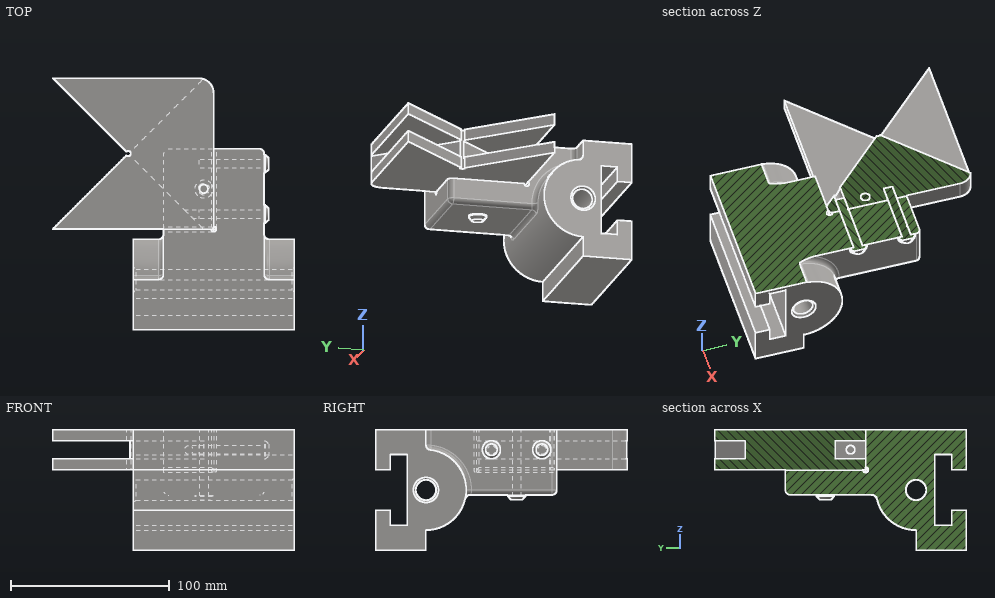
import cadquery as cq


base_width = 101.6
base_depth = 31.8
base_height = 76.2
slot_neck_height = 25.4
slot_neck_depth = 9.4
slot_head_height = 44.5
slot_depth = 19.8
slot_z = base_height / 2

boss_radius = 25.4
bore_radius = 6.4
bore_chamfer = 1.6

arm_left = 19.0
arm_width = 63.5
arm_right = arm_left + arm_width
arm_end_y = 114.3
arm_height = 41.3
arm_bottom = base_height - arm_height
edge_fillet = 3.2
relief_radius = 1.6

block_width = 101.6
block_length = 95.2
block_height = 25.4
block_right = base_width / 2
block_left = block_right - block_width
block_front = 63.5
block_back = block_front + block_length
block_middle_y = block_front + block_length / 2
block_bottom = base_height - block_height
block_middle_z = base_height - block_height / 2
block_corner_radius = 9.5
vee_tip_x = block_left + block_length / 2
groove_height = 11.1
groove_end_x = vee_tip_x + block_length / 2

shank_radius = 2.7
shank_length = arm_height
head_radius = 5.7
head_top_radius = 3.7
head_height = 3.0
head_rim = 0.6
front_screw_y = 73.0
back_screw_y = 104.8
side_screw_ys = (front_screw_y, back_screw_y)
side_screw_end_x = arm_right - shank_length
upright_screw_x = 44.5
upright_screw_y = (front_screw_y + back_screw_y) / 2


def box(x_range, y_range, z_range):
    """Box between the given coordinates along each axis."""
    (x0, x1), (y0, y1), (z0, z1) = x_range, y_range, z_range
    return cq.Workplane("XY").box(x1 - x0, y1 - y0, z1 - z0, centered=False).translate((x0, y0, z0))


def x_cylinder(y, z, radius, x_start, length):
    """Cylinder along X that starts at x_start."""
    return cq.Workplane("YZ", origin=(x_start, y, z)).circle(radius).extrude(length)


def make_screw():
    """Screw with its head's underside at the origin and its shank along +Z."""
    return (
        cq.Workplane("XZ")
        .moveTo(0, -head_height)
        .lineTo(head_top_radius, -head_height)
        .lineTo(head_radius, -head_rim)
        .lineTo(head_radius, 0)
        .lineTo(shank_radius, 0)
        .lineTo(shank_radius, shank_length)
        .lineTo(0, shank_length)
        .close()
        .revolve(360, (0, 0, 0), (0, 1, 0))
    )


def make_screws():
    """One screw up through the arm and two in from the arm's right side."""
    screw = make_screw()
    screws = [screw.translate((upright_screw_x, upright_screw_y, arm_bottom))]
    side_screw = screw.rotate((0, 0, 0), (0, 1, 0), -90)
    for y in side_screw_ys:
        screws.append(side_screw.translate((arm_right, y, block_middle_z)))
    return screws


def cut_screw_holes(body):
    """Holes that fit the shanks of all the screws."""
    upright = cq.Workplane("XY", origin=(upright_screw_x, upright_screw_y, arm_bottom))
    body = body.cut(upright.circle(shank_radius).extrude(shank_length))
    for y in side_screw_ys:
        body = body.cut(x_cylinder(y, block_middle_z, shank_radius, side_screw_end_x, shank_length))
    return body


def make_arm():
    """Arm with rounded lower edges and end corners, rooted inside the base."""
    arm = box((arm_left, arm_right), (slot_depth, arm_end_y), (arm_bottom, base_height))
    return arm.edges("(|Z and >Y) or (<Z and (not <Y))").fillet(edge_fillet)


def cut_t_slot(body):
    """T-slot across the mounting face."""
    steps = (
        (0, slot_neck_depth, slot_neck_height),
        (slot_neck_depth, slot_depth, slot_head_height),
    )
    for start, end, height in steps:
        body = body.cut(box((0, base_width), (start, end), (slot_z - height / 2, slot_z + height / 2)))
    return body


def cut_bore(body):
    """Bore through the boss, chamfered at both ends."""
    body = body.cut(x_cylinder(base_depth, slot_z, bore_radius, 0, base_width))
    mouth_radius = bore_radius + bore_chamfer
    for x, inward in ((0, 1), (base_width, -1)):
        start = cq.Vector(x, base_depth, slot_z)
        direction = cq.Vector(inward, 0, 0)
        cone = cq.Solid.makeCone(mouth_radius, bore_radius, bore_chamfer, start, direction)
        body = body.cut(cq.Workplane(cone))
    return body


def cut_block_seat(body):
    """Corner seat for the V-block, with round reliefs along its inside corners."""
    body = body.cut(box((arm_left, block_right), (block_front, arm_end_y), (block_bottom, base_height)))
    end_relief = cq.Workplane("XZ", origin=(block_right, arm_end_y, block_bottom))
    body = body.cut(end_relief.circle(relief_radius).extrude(arm_end_y - block_front))
    upright_relief = cq.Workplane("XY", origin=(block_right, block_front, block_bottom))
    body = body.cut(upright_relief.circle(relief_radius).extrude(block_height))
    return body.cut(x_cylinder(block_front, block_bottom, relief_radius, arm_left, block_right - arm_left))


def make_holder():
    """Base, boss and arm in one piece, machined for the rail, the hinge, the V-block and the screws."""
    body = box((0, base_width), (0, base_depth), (0, base_height))
    body = body.union(x_cylinder(base_depth, slot_z, boss_radius, 0, base_width))
    body = body.union(make_arm())
    margin = 1.6
    inside_corners = cq.selectors.BoxSelector(
        (margin, base_depth - margin, arm_bottom - margin),
        (base_width - margin, base_depth + boss_radius + margin, base_height - margin),
    )
    body = body.edges(inside_corners).fillet(edge_fillet)
    body = cut_t_slot(body)
    body = cut_bore(body)
    body = cut_block_seat(body)
    return cut_screw_holes(body)


def make_wedge(base_x, levels):
    """Prism between two levels, from the V-block's full width at base_x to the tip of its V-notch."""
    outline = [(base_x, block_front), (vee_tip_x, block_middle_y), (base_x, block_back)]
    bottom, top = levels
    return cq.Workplane("XY", origin=(0, 0, bottom)).polyline(outline).close().extrude(top - bottom)


def make_v_block():
    """Block with a V-notch, and a groove that leaves a wedge-shaped web between its two plates."""
    levels = (block_bottom, base_height)
    block = box((block_left, block_right), (block_front, block_back), levels)
    block = block.edges("|Z and >X and >Y").fillet(block_corner_radius)
    block = block.cut(make_wedge(block_left, levels))

    groove_levels = (block_middle_z - groove_height / 2, block_middle_z + groove_height / 2)
    groove = box((block_left, groove_end_x), (block_front, block_back), groove_levels)
    block = block.cut(groove.cut(make_wedge(groove_end_x, groove_levels)))

    notch_relief = cq.Workplane("XY", origin=(vee_tip_x, block_middle_y, block_bottom))
    block = block.cut(notch_relief.circle(relief_radius).extrude(block_height))

    runout = x_cylinder(front_screw_y, block_middle_z, shank_radius, vee_tip_x, side_screw_end_x - vee_tip_x)
    return cut_screw_holes(block.cut(runout))


holder = make_holder()
v_block = make_v_block()
screws = make_screws()
result = cq.Compound.makeCompound([holder.val(), v_block.val(), *[screw.val() for screw in screws]])